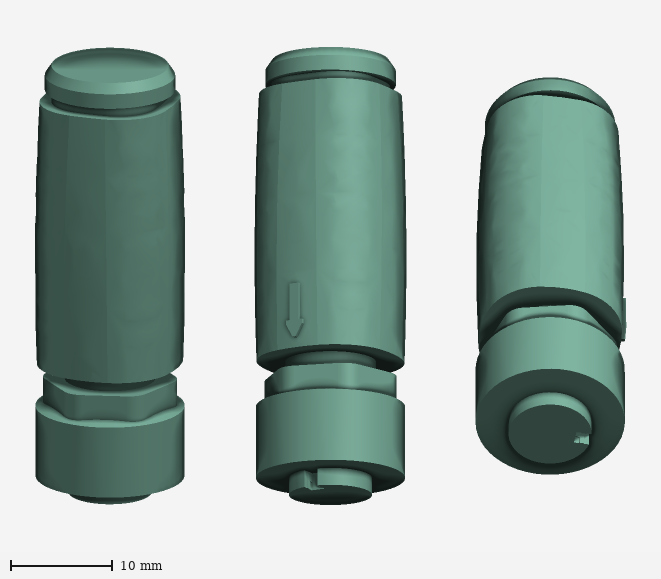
import cadquery as cq
import math

TIP_RADIUS = 4.1
TIP_TOP = 1.7
SLOT_MOUTH_WIDTH = 1.45
SLOT_MOUTH_FLOOR = 3.5
SLOT_INNER_WIDTH = 1.3
SLOT_INNER_FLOOR = 2.5
SLOT_RECESS_OUTER = 3.05
SLOT_RECESS_TOP = 0.8

COLLAR_RADIUS = 7.35
COLLAR_EDGE_TOP = 8.95
CONE_TOP_RADIUS = 6.0
CONE_TOP = 9.35

HEX_ACROSS_FLATS = 12.0
HEX_CORNER_RADIUS = 2.1
HEX_TOP = 11.8

NECK_RADIUS = 4.5

GRIP_BOTTOM = 13.45
GRIP_WAIST = 23.75
GRIP_TOP = 40.52
GRIP_BOTTOM_CORNER = 7.35
GRIP_BOTTOM_SIDE = 7.0
GRIP_BOTTOM_BULGE = 11.45
GRIP_WAIST_CORNER = 7.52
GRIP_WAIST_SIDE = 7.2
GRIP_WAIST_BULGE = 11.0
GRIP_TOP_CORNER = 7.15
GRIP_TOP_SIDE = 6.55
GRIP_TOP_BULGE = 26.4

GROOVE_CORNER = 5.95
GROOVE_SIDE = 5.4
GROOVE_BULGE = 26.4
GROOVE_TOP = 41.55

CAP_RADIUS = 6.42
CAP_FACE_RADIUS = 5.75
CAP_EDGE_TOP = 43.05
TOTAL_HEIGHT = 44.0

ARROW_FACE = 7.5
ARROW_ROOT = 6.6
ARROW_TOP = 19.85
ARROW_HEAD_TOP = 16.15
ARROW_HEAD_SHOULDER = 15.7
ARROW_POINT = 14.45
ARROW_SHAFT_WIDTH = 1.0
ARROW_HEAD_WIDTH = 1.75
ARROW_POINT_WIDTH = 0.35

DIAGONAL = 135


def polar(radius, degrees):
    angle = math.radians(degrees)
    return cq.Vector(radius * math.cos(angle), radius * math.sin(angle))


def rounded_square(corner_reach, side_reach, bulge_radius, height):
    """Square outline with corners on X and Y, made of tangent corner and side arcs."""
    side_offset = bulge_radius - side_reach
    drop = corner_reach - side_reach
    corner_offset = drop * (2 * side_offset - drop) / ((2 - math.sqrt(2)) * side_offset - 2 * drop)
    corner_radius = corner_reach - corner_offset
    half_step = corner_offset / math.sqrt(2)
    side_half_angle = math.degrees(math.atan2(half_step, side_offset + half_step))
    corner_half_angle = 45 - side_half_angle

    first_joint = polar(corner_offset, 0) + polar(corner_radius, -corner_half_angle)
    outline = cq.Workplane("XY").workplane(offset=height).moveTo(first_joint.x, first_joint.y)
    for axis in (0, 90, 180, 270):
        joint = polar(corner_offset, axis) + polar(corner_radius, axis + corner_half_angle)
        next_joint = polar(corner_offset, axis + 90) + polar(corner_radius, axis + 90 - corner_half_angle)
        outline = outline.threePointArc(polar(corner_reach, axis).toTuple()[:2], joint.toTuple()[:2])
        outline = outline.threePointArc(polar(side_reach, axis + 45).toTuple()[:2], next_joint.toTuple()[:2])
    return outline.close()


def cylinder(radius, bottom, top):
    return cq.Workplane("XY").workplane(offset=bottom).circle(radius).extrude(top - bottom)


def slot_block(inner, outer, width, top):
    """Block between two distances from the axis, centred on the diagonal."""
    return (
        cq.Workplane("XY")
        .center((inner + outer) / 2, 0)
        .rect(outer - inner, width)
        .extrude(top)
        .rotate((0, 0, 0), (0, 0, 1), DIAGONAL)
    )


def make_tip():
    mouth = slot_block(SLOT_MOUTH_FLOOR, TIP_RADIUS, SLOT_MOUTH_WIDTH, TIP_TOP)
    inner = slot_block(SLOT_INNER_FLOOR, SLOT_MOUTH_FLOOR, SLOT_INNER_WIDTH, TIP_TOP)
    recess = slot_block(SLOT_INNER_FLOOR, SLOT_RECESS_OUTER, SLOT_MOUTH_WIDTH, SLOT_RECESS_TOP)
    return cylinder(TIP_RADIUS, 0, TIP_TOP).cut(mouth).cut(inner).cut(recess)


def make_collar():
    profile = [
        (0, TIP_TOP),
        (COLLAR_RADIUS, TIP_TOP),
        (COLLAR_RADIUS, COLLAR_EDGE_TOP),
        (CONE_TOP_RADIUS, CONE_TOP),
        (0, CONE_TOP),
    ]
    return cq.Workplane("XZ").polyline(profile).close().revolve(360, (0, 0), (0, 1))


def make_hexagon():
    return (
        cq.Workplane("XY")
        .workplane(offset=COLLAR_EDGE_TOP)
        .polygon(6, HEX_ACROSS_FLATS / math.cos(math.pi / 6))
        .extrude(HEX_TOP - COLLAR_EDGE_TOP)
        .edges("|Z")
        .fillet(HEX_CORNER_RADIUS)
    )


def make_grip():
    sections = [
        rounded_square(GRIP_BOTTOM_CORNER, GRIP_BOTTOM_SIDE, GRIP_BOTTOM_BULGE, GRIP_BOTTOM),
        rounded_square(GRIP_WAIST_CORNER, GRIP_WAIST_SIDE, GRIP_WAIST_BULGE, GRIP_WAIST),
        rounded_square(GRIP_TOP_CORNER, GRIP_TOP_SIDE, GRIP_TOP_BULGE, GRIP_TOP),
    ]
    return cq.Workplane(cq.Solid.makeLoft([section.val() for section in sections]))


def make_groove_core():
    core = rounded_square(GROOVE_CORNER, GROOVE_SIDE, GROOVE_BULGE, GRIP_TOP)
    return core.extrude(GROOVE_TOP - GRIP_TOP)


def make_cap():
    profile = [
        (0, GROOVE_TOP),
        (CAP_RADIUS, GROOVE_TOP),
        (CAP_RADIUS, CAP_EDGE_TOP),
        (CAP_FACE_RADIUS, TOTAL_HEIGHT),
        (0, TOTAL_HEIGHT),
    ]
    return cq.Workplane("XZ").polyline(profile).close().revolve(360, (0, 0), (0, 1))


def make_arrow():
    right_half = [
        (ARROW_SHAFT_WIDTH / 2, ARROW_TOP),
        (ARROW_SHAFT_WIDTH / 2, ARROW_HEAD_TOP),
        (ARROW_HEAD_WIDTH / 2, ARROW_HEAD_TOP),
        (ARROW_HEAD_WIDTH / 2, ARROW_HEAD_SHOULDER),
        (ARROW_POINT_WIDTH / 2, ARROW_POINT),
    ]
    left_half = [(-across, height) for across, height in reversed(right_half)]
    return (
        cq.Workplane("YZ")
        .workplane(offset=ARROW_ROOT)
        .polyline(right_half + left_half)
        .close()
        .extrude(ARROW_FACE - ARROW_ROOT)
        .rotate((0, 0, 0), (0, 0, 1), DIAGONAL)
    )


result = (
    make_tip()
    .union(make_collar())
    .union(make_hexagon())
    .union(cylinder(NECK_RADIUS, HEX_TOP, GRIP_BOTTOM))
    .union(make_grip())
    .union(make_groove_core())
    .union(make_cap())
    .union(make_arrow())
)